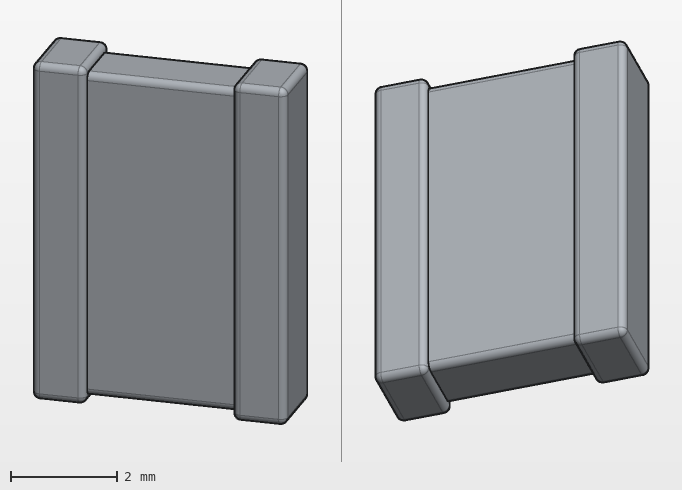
import cadquery as cq

LENGTH_X = 5.0
DEPTH_Y = 1.55
HEIGHT_Z = 6.8

TERMINAL_WIDTH = 1.05
EDGE_RADIUS = 0.14
CORE_INSET = EDGE_RADIUS

CORE_LENGTH = LENGTH_X - 2 * TERMINAL_WIDTH
TERMINAL_CENTER_X = (LENGTH_X - TERMINAL_WIDTH) / 2


def make_core():
    """Ceramic block spanning the gap, rounded along its four long edges."""
    block = cq.Workplane("XY").box(
        CORE_LENGTH,
        DEPTH_Y - 2 * CORE_INSET,
        HEIGHT_Z - 2 * CORE_INSET,
    )
    return block.edges("|X").fillet(EDGE_RADIUS)


def make_terminal(center_x):
    """End terminal with every edge rounded; its flat inner face touches the core."""
    block = cq.Workplane("XY").box(TERMINAL_WIDTH, DEPTH_Y, HEIGHT_Z)
    return block.edges().fillet(EDGE_RADIUS).translate((center_x, 0, 0))


core = make_core()
terminals = [make_terminal(side * TERMINAL_CENTER_X) for side in (-1, 1)]

result = cq.Compound.makeCompound([core.val(), *[terminal.val() for terminal in terminals]])